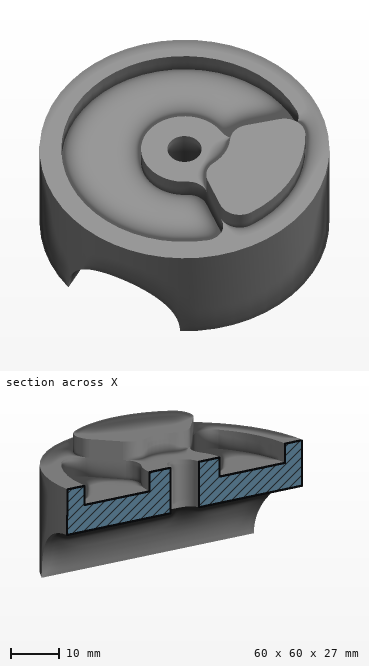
import cadquery as cq
import math

disc_radius = 30
disc_height = 23.0
bore_radius = 3.55
channel_radius = 13.0

pocket_depth = 4.15
key_height = 4.0
pocket_inner_radius = 9
pocket_outer_radius = 25.5
key_clearance = 0.5
key_inner_radius = pocket_inner_radius + key_clearance
key_outer_radius = pocket_outer_radius - key_clearance
key_half_angle = 41
pocket_corner_radius = 4.0
key_corner_radius = 4.3


def polar(radius, angle):
    """Point at a radius and an angle in degrees about the disc axis."""
    return (radius * math.cos(math.radians(angle)), radius * math.sin(math.radians(angle)))


def ring_sector(inner, outer, start, end, height, corner_radius):
    """Ring sector from angle start to end, with rounded vertical corners."""
    middle = (start + end) / 2
    return (
        cq.Workplane("XY", origin=(0, 0, disc_height))
        .moveTo(*polar(inner, start))
        .lineTo(*polar(outer, start))
        .threePointArc(polar(outer, middle), polar(outer, end))
        .lineTo(*polar(inner, end))
        .threePointArc(polar(inner, middle), polar(inner, start))
        .close()
        .extrude(height)
        .edges("|Z")
        .fillet(corner_radius)
    )


body = cq.Workplane("XY").circle(disc_radius).extrude(disc_height)

channel = cq.Workplane("XZ").circle(channel_radius).extrude(disc_radius, both=True)

pocket = ring_sector(
    pocket_inner_radius, pocket_outer_radius, key_half_angle, 360 - key_half_angle,
    -pocket_depth, pocket_corner_radius
)
key = ring_sector(
    key_inner_radius, key_outer_radius, -key_half_angle, key_half_angle,
    key_height, key_corner_radius
)
bore = cq.Workplane("XY").circle(bore_radius).extrude(disc_height)

result = body.union(key).cut(channel).cut(pocket).cut(bore)